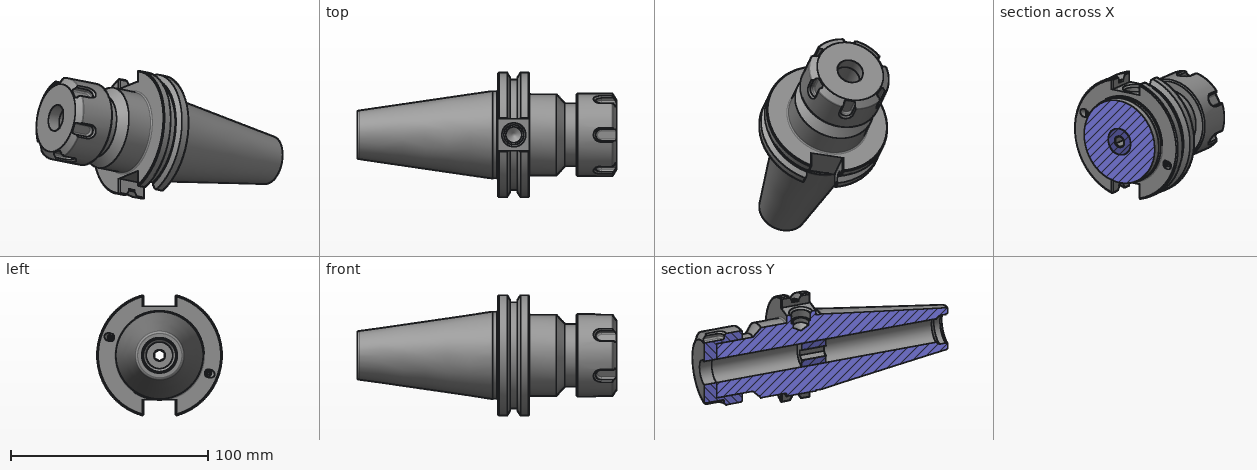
import cadquery as cq
import math

overall_length = 131.8
taper_length = 68.3
gauge_land_end = 68.9
flange_start = 71.4
flange_end = 87.2
body_end = 101.0
neck_start = 105.4
nut_start = 111.1
nose_end = 125.2

gauge_dia = 44.4
taper_ratio = 7 / 24
small_end_dia = gauge_dia - taper_length * taper_ratio
small_end_fillet = 1.2
relief_dia = 44.3
relief_fillet = 0.5
body_dia = 41.4
body_fillet = 0.7
neck_dia = 32.0

bore_dia = 13.5
mouth_dia = 18.0
pilot_dia = 16.5
mouth_chamfer_depth = 1.3
pilot_end = 4.6
bore_start = 6.5

flange_dia = 63.5
flange_rear_chamfer = 0.7
flange_front_chamfer = 0.5
groove_dia = 56.3
groove_floor_width = 3.4
groove_step_dia = 58.0
groove_mouth_width = 6.9
groove_center = 79.5
slot_width = 16.1
slot_edge_chamfer = 0.7
top_slot_floor = 24.9
bottom_slot_floor = 22.5

pocket_dia = 10.0
pocket_chamfer = 1.0
pocket_depth = 5.3
drill_dia = 8.0
drill_depth = 7.9
drill_point_angle = 118.0

port_dia = 4.1
port_center_radius = 27.1
port_position_angles = (160.0, 340.0)
port_tilt = 35.0
screw_depth = 1.7
screw_length = 5.3
screw_hex_flats = 2.0
screw_hex_depth = 2.0

stop_start = 65.9
stop_length = 13.2
stop_hex_flats = 5.0
stop_countersink_dia = 5.8

nut_dia = 42.0
nut_rear_chamfer = 0.8
nut_face_dia = 34.8
nut_cone_start = 129.4
nut_edge_fillet = 0.4
nut_slot_count = 6
nut_slot_width = 5.8
nut_slot_end_center = 123.9
nut_slot_floor = 17.8
nut_slot_fillet = 0.8
nut_slot_flare_start = 19.9

clearance = 1.3
pick_margin = 0.07


def revolve_x(points):
    """Solid of revolution about the X axis from (x, radius) points."""
    return cq.Workplane("XY").polyline(points).close().revolve(360, (0, 0, 0), (1, 0, 0))


def edge_circle_at(x):
    """Selector for circular edges centred on the X axis at position x."""
    return cq.selectors.BoxSelector(
        (x - pick_margin, -pick_margin, -pick_margin),
        (x + pick_margin, pick_margin, pick_margin))


def root_circle_at(x, dia):
    """Selector for the circle where a cylinder meets a flange face."""
    reach = dia / 2 + pick_margin
    return cq.selectors.BoxSelector(
        (x - pick_margin, -reach, -reach),
        (x + pick_margin, reach, reach),
        boundingbox=True)


def hexagon_dia(flats):
    """Diameter across the corners of a hexagon."""
    return flats / math.cos(math.pi / 6)


def make_shank():
    """Taper, gauge land, relief, body and nose, without the flange."""
    shank = revolve_x([
        (0, 0),
        (0, small_end_dia / 2),
        (taper_length, gauge_dia / 2),
        (gauge_land_end, gauge_dia / 2),
        (gauge_land_end, relief_dia / 2),
        (groove_center, relief_dia / 2),
        (groove_center, body_dia / 2),
        (body_end, body_dia / 2),
        (neck_start, neck_dia / 2),
        (nose_end, neck_dia / 2),
        (nose_end, 0),
    ])
    return shank.edges(edge_circle_at(0)).fillet(small_end_fillet)


def make_flange_disc():
    """Flange disc with chamfered rims."""
    return revolve_x([
        (flange_start, 0),
        (flange_start, flange_dia / 2 - flange_rear_chamfer),
        (flange_start + flange_rear_chamfer, flange_dia / 2),
        (flange_end - flange_front_chamfer, flange_dia / 2),
        (flange_end, flange_dia / 2 - flange_front_chamfer),
        (flange_end, 0),
    ])


def make_drive_slot(floor):
    """Slot across the +Z side of the flange, its walls flared at the rim and at both faces, as a cutter."""
    wall = slot_width / 2
    flare = wall + slot_edge_chamfer
    rim_height = math.sqrt((flange_dia / 2) ** 2 - flare ** 2)
    top = flange_dia / 2 + clearance
    profile = cq.Workplane("YZ").workplane(offset=flange_start).polyline([
        (-wall, floor),
        (-wall, rim_height - slot_edge_chamfer),
        (-flare, rim_height),
        (-flare, top),
        (flare, top),
        (flare, rim_height),
        (wall, rim_height - slot_edge_chamfer),
        (wall, floor),
    ]).close().extrude(flange_end - flange_start)
    plan = cq.Workplane("XY").workplane(offset=floor).polyline([
        (flange_start, -flare),
        (flange_start, flare),
        (flange_start + slot_edge_chamfer, wall),
        (flange_end - slot_edge_chamfer, wall),
        (flange_end, flare),
        (flange_end, -flare),
        (flange_end - slot_edge_chamfer, -wall),
        (flange_start + slot_edge_chamfer, -wall),
    ]).close().extrude(top - floor)
    return profile.union(plan)


def make_groove_ring():
    """Stepped V-groove around the flange rim, as a cutter."""
    half_mouth = groove_mouth_width / 2
    half_floor = groove_floor_width / 2
    rim = flange_dia / 2
    return revolve_x([
        (groove_center - half_mouth, rim),
        (groove_center - half_floor, groove_step_dia / 2),
        (groove_center - half_floor, groove_dia / 2),
        (groove_center + half_floor, groove_dia / 2),
        (groove_center + half_floor, groove_step_dia / 2),
        (groove_center + half_mouth, rim),
        (groove_center + half_mouth, rim + clearance),
        (groove_center - half_mouth, rim + clearance),
    ])


def make_bore():
    """Main bore with its chamfered mouth and pilot, as a cutter."""
    return revolve_x([
        (0, 0),
        (0, mouth_dia / 2),
        (mouth_chamfer_depth, pilot_dia / 2),
        (pilot_end, pilot_dia / 2),
        (bore_start, bore_dia / 2),
        (overall_length, bore_dia / 2),
        (overall_length, 0),
    ])


def make_slot_pocket():
    """Chamfered counterbore with a drilled bottom, sunk into the top slot floor, as a cutter."""
    point_height = drill_dia / 2 / math.tan(math.radians(drill_point_angle / 2))
    profile = [
        (0, 0),
        (pocket_dia / 2 + pocket_chamfer, 0),
        (pocket_dia / 2, -pocket_chamfer),
        (pocket_dia / 2, -pocket_depth),
        (drill_dia / 2, -pocket_depth),
        (drill_dia / 2, -drill_depth),
        (0, -drill_depth - point_height),
    ]
    cutter = cq.Workplane("XZ").polyline(profile).close().revolve(360, (0, 0, 0), (0, 1, 0))
    return cutter.translate((groove_center, 0, top_slot_floor))


def port_plane(position_angle):
    """Plane at a flange hole's mouth, its normal running down the hole toward the axis."""
    turn = math.radians(position_angle)
    outward = cq.Vector(0, -math.cos(turn), math.sin(turn))
    tilt = math.radians(port_tilt)
    direction = cq.Vector(math.cos(tilt), 0, 0) - outward * math.sin(tilt)
    origin = outward * port_center_radius + cq.Vector(flange_start, 0, 0)
    return cq.Plane(origin=origin, xDir=outward.cross(direction), normal=direction)


def make_port(position_angle):
    """Slanted hole that opens on the rear flange face, as a cutter."""
    mouth_run_out = port_dia
    depth = screw_depth + screw_length
    return (cq.Workplane(port_plane(position_angle)).workplane(offset=-mouth_run_out)
            .circle(port_dia / 2).extrude(mouth_run_out + depth))


def make_holder():
    """Shank and flange with every slot, groove, bore and hole."""
    holder = make_shank().union(make_flange_disc())
    holder = holder.edges(root_circle_at(flange_start, relief_dia)).fillet(relief_fillet)
    holder = holder.edges(root_circle_at(flange_end, body_dia)).fillet(body_fillet)
    holder = holder.cut(make_drive_slot(top_slot_floor))
    holder = holder.cut(make_drive_slot(bottom_slot_floor).rotate((0, 0, 0), (1, 0, 0), 180))
    holder = holder.cut(make_groove_ring())
    holder = holder.cut(make_bore()).cut(make_slot_pocket())
    for angle in port_position_angles:
        holder = holder.cut(make_port(angle))
    return holder


def make_flange_screw(position_angle):
    """Headless screw filling the inner end of a flange hole, with a hexagon socket."""
    screw = (cq.Workplane(port_plane(position_angle)).workplane(offset=screw_depth)
             .circle(port_dia / 2).extrude(screw_length))
    socket = (cq.Workplane(port_plane(position_angle)).workplane(offset=screw_depth)
              .polygon(6, hexagon_dia(screw_hex_flats)).extrude(screw_hex_depth))
    return screw.cut(socket)


def make_stop_screw():
    """Screw filling the main bore, with a countersunk hexagon hole through it."""
    stop = cq.Workplane("YZ").workplane(offset=stop_start).circle(bore_dia / 2).extrude(stop_length)
    hexagon = (cq.Workplane("YZ").workplane(offset=stop_start).transformed(rotate=(0, 0, 90))
               .polygon(6, hexagon_dia(stop_hex_flats)).extrude(stop_length))
    countersink = revolve_x([
        (stop_start, 0),
        (stop_start, stop_countersink_dia / 2),
        (stop_start + stop_countersink_dia / 2, 0),
    ])
    return stop.cut(hexagon).cut(countersink)


def make_nut_slot():
    """Round-ended wrench slot on the +Z side, flared at the rim, as a cutter."""
    half_width = nut_slot_width / 2
    open_end = overall_length + nut_slot_width

    def outline(height):
        return (cq.Workplane("XY").workplane(offset=height)
                .moveTo(open_end, -half_width)
                .lineTo(nut_slot_end_center, -half_width)
                .threePointArc((nut_slot_end_center - half_width, 0), (nut_slot_end_center, half_width))
                .lineTo(open_end, half_width)
                .close())

    rim = nut_dia / 2 + clearance
    channel = outline(nut_slot_floor).extrude(rim - nut_slot_floor).faces("<Z").edges().fillet(nut_slot_fillet)
    flare = outline(nut_slot_flare_start).extrude(rim - nut_slot_flare_start, taper=-45)
    return channel.union(flare)


def make_nut():
    """Nut that sits over the holder's nose, with a coned front and wrench slots."""
    nut = revolve_x([
        (nut_start, 0),
        (nut_start, nut_dia / 2 - nut_rear_chamfer),
        (nut_start + nut_rear_chamfer, nut_dia / 2),
        (nut_cone_start, nut_dia / 2),
        (overall_length, nut_face_dia / 2),
        (overall_length, 0),
    ])
    nut = nut.edges(edge_circle_at(nut_cone_start)).fillet(nut_edge_fillet)
    nose_socket = cq.Workplane("YZ").workplane(offset=nut_start).circle(neck_dia / 2).extrude(nose_end - nut_start)
    nut = nut.cut(nose_socket).cut(make_bore())
    slot = make_nut_slot()
    for index in range(nut_slot_count):
        nut = nut.cut(slot.rotate((0, 0, 0), (1, 0, 0), index * 360 / nut_slot_count))
    return nut


holder = make_holder()
nut = make_nut()
stop_screw = make_stop_screw()
flange_screws = [make_flange_screw(angle) for angle in port_position_angles]

result = cq.Compound.makeCompound([
    holder.val(),
    nut.val(),
    stop_screw.val(),
    *[screw.val() for screw in flange_screws],
])